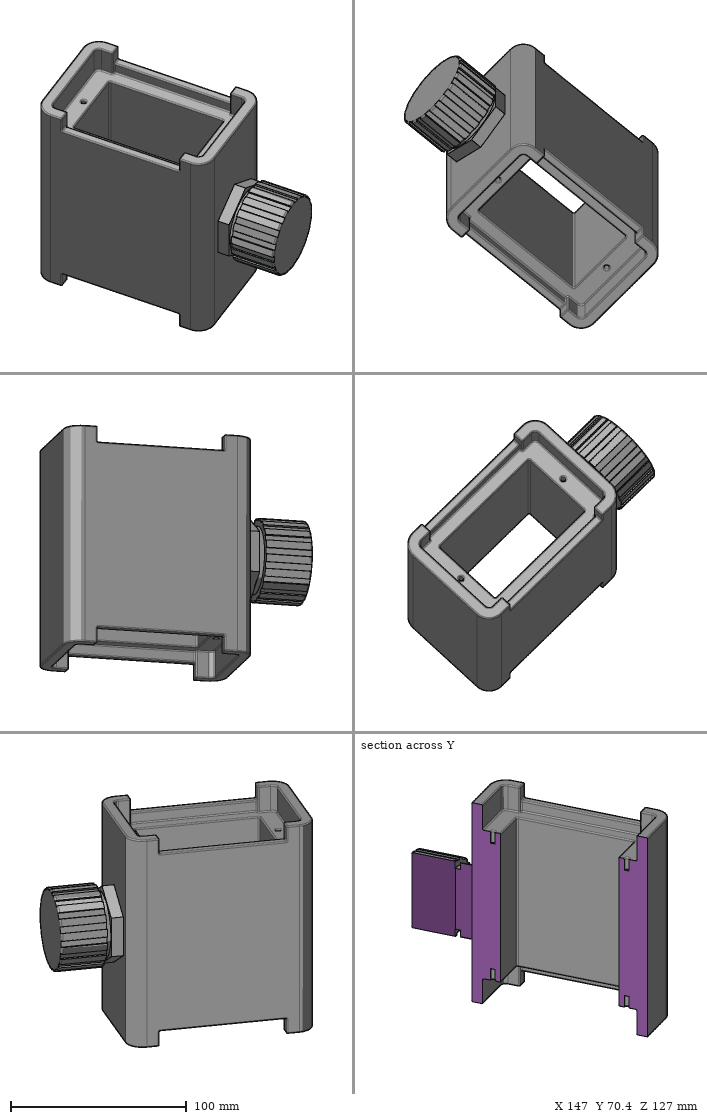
import cadquery as cq

housing_length = 109.7
housing_width = 70.4
housing_height = 127.0
corner_radius = 10.0
edge_round = 0.75

recess_wall = 6.9
recess_depth = 16.0
window_length = 73.4
window_width = 44.4
window_corner_radius = 1.0

rim_length = 17.3
notch_depth = 9.3
notch_wall = 5.0

screw_spacing = 83.3
screw_hole_diameter = 2.6
screw_hole_depth = 7.4

overall_length = 147.0
hex_across_flats = 41.0
hex_length = 7.0
collar_diameter = 39.1
collar_length = 3.1
nut_diameter = 48.2
nut_edge_round = 1.0
groove_count = 18
groove_width = 3.8
groove_depth = 1.0

half_height = housing_height / 2
recess_floor = half_height - recess_depth
notch_length = housing_length - 2 * rim_length
nut_length = overall_length - housing_length - hex_length - collar_length
nut_radius = nut_diameter / 2


def block(length, width, bottom, top):
    """Block centred on the Z axis between two heights."""
    return cq.Workplane("XY").workplane(offset=bottom).rect(length, width).extrude(top - bottom)


def make_recess():
    """Rounded recess, widened along the notches."""
    recess_length = housing_length - 2 * recess_wall
    recess_width = housing_width - 2 * recess_wall
    recess = block(recess_length, recess_width, recess_floor, half_height)
    recess = recess.edges("|Z").fillet(corner_radius - recess_wall)
    widened_width = housing_width - 2 * notch_wall
    return recess.union(block(notch_length, widened_width, recess_floor, half_height))


def make_screw_holes():
    return (
        cq.Workplane("XY")
        .workplane(offset=recess_floor - screw_hole_depth)
        .rarray(screw_spacing, 1.5, 2, 1)
        .circle(screw_hole_diameter / 2)
        .extrude(screw_hole_depth)
    )


def round_end_edges(half):
    """Round every edge from the recess floor up, except where the recess corners run into its walls."""
    margin = 0.1
    end_zone = cq.selectors.BoxSelector(
        (-housing_length, -housing_width, recess_floor - margin),
        (housing_length, housing_width, half_height + margin),
    )

    def is_sharp(edge):
        beyond_notch = abs(edge.Center().x) > notch_length / 2 + margin
        upright = edge.BoundingBox().zlen > margin
        return not (upright and beyond_notch)

    return half.edges(end_zone).filter(is_sharp).fillet(edge_round)


def make_half_housing():
    """Upper half of the housing; the lower half is its mirror image."""
    half = block(housing_length, housing_width, 0, half_height).edges("|Z").fillet(corner_radius)
    half = half.cut(block(notch_length, housing_width, half_height - notch_depth, half_height))
    half = half.cut(make_recess())
    window = block(window_length, window_width, 0, half_height)
    half = half.cut(window.edges("|Z").fillet(window_corner_radius))
    half = half.cut(make_screw_holes())
    return round_end_edges(half)


def make_housing():
    half = make_half_housing()
    return half.union(half.mirror("XY"))


def make_gland():
    """Hexagon against the housing, then a round collar."""
    face = cq.Workplane("YZ").workplane(offset=housing_length / 2)
    hexagon = face.polygon(6, hex_across_flats, circumscribed=True).extrude(hex_length)
    collar = face.workplane(offset=hex_length).circle(collar_diameter / 2).extrude(collar_length)
    return hexagon.union(collar)


def make_nut():
    """Round nut with lengthwise grip grooves; only the ridges are rounded at the outer end."""
    face = cq.Workplane("YZ").workplane(offset=housing_length / 2 + hex_length + collar_length)
    ridges = face.circle(nut_radius).extrude(nut_length).faces(">X").edges().fillet(nut_edge_round)
    cutter_height = 4 * groove_depth
    grooves = (
        face.polarArray(nut_radius, 0, 360, groove_count)
        .rect(cutter_height, groove_width)
        .extrude(nut_length)
    )
    core = face.circle(nut_radius - groove_depth).extrude(nut_length)
    return ridges.cut(grooves).union(core)


housing = make_housing()
gland = make_gland()
nut = make_nut()

result = cq.Compound.makeCompound([housing.val(), gland.val(), nut.val()])